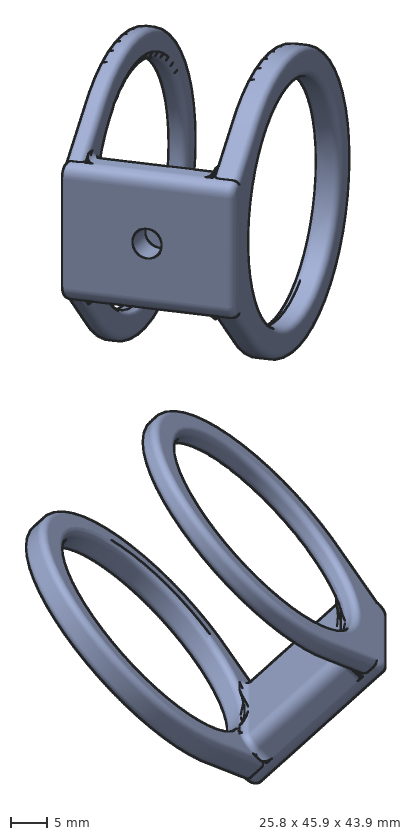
import cadquery as cq
import math

WIDTH = 25.8
RING_RADIUS = 21.95
BORE_RADIUS = 35.2 / 2
FRONT_Y = RING_RADIUS - 45.9
LEFT_ARM = 3.05
RIGHT_ARM = 4.0

BLOCK_HEIGHT = 20.0
BLOCK_BACK_Y = -17.65
BLOCK_ROUND = 2.0
SCREW_HOLE_DIAMETER = 4.3
SCREW_HOLE_DEPTH = 5.0

EDGE_ROUND = 1.0

LEFT_X = -WIDTH / 2
RIGHT_X = WIDTH / 2
LEFT_INNER_X = LEFT_X + LEFT_ARM
RIGHT_INNER_X = RIGHT_X - RIGHT_ARM
HALF_HEIGHT = BLOCK_HEIGHT / 2
SHOULDER_Y = FRONT_Y + BLOCK_ROUND
FLANK_START_Z = 15.9
SELECT_MARGIN = 0.05


def arm_blank(start_x, thickness):
    """Solid arm: a disc with straight flanks that run into the block."""
    flank_start_y = -math.sqrt(RING_RADIUS**2 - FLANK_START_Z**2)
    end_y = FRONT_Y + BLOCK_ROUND / 2
    flank_slope = (FLANK_START_Z - HALF_HEIGHT) / (flank_start_y - SHOULDER_Y)
    end_z = HALF_HEIGHT + flank_slope * (end_y - SHOULDER_Y)
    return (
        cq.Workplane("YZ", origin=(start_x, 0, 0))
        .moveTo(flank_start_y, FLANK_START_Z)
        .threePointArc((RING_RADIUS, 0), (flank_start_y, -FLANK_START_Z))
        .lineTo(end_y, -end_z)
        .lineTo(end_y, end_z)
        .close()
        .extrude(thickness)
    )


def block():
    """Bar across the full width with its four long edges rounded."""
    depth = BLOCK_BACK_Y - FRONT_Y
    return (
        cq.Workplane("XY")
        .box(WIDTH, depth, BLOCK_HEIGHT)
        .translate((0, FRONT_Y + depth / 2, 0))
        .edges("|X")
        .fillet(BLOCK_ROUND)
    )


def bore_cutter(start_x, thickness):
    """Bore of one arm, flared by a quarter round at both faces."""
    end_x = start_x + thickness
    mouth = BORE_RADIUS + EDGE_ROUND
    sag = EDGE_ROUND * (1 - math.sqrt(0.5))
    return (
        cq.Workplane("XY")
        .moveTo(start_x, 0)
        .lineTo(start_x, mouth)
        .threePointArc((start_x + sag, BORE_RADIUS + sag), (start_x + EDGE_ROUND, BORE_RADIUS))
        .lineTo(end_x - EDGE_ROUND, BORE_RADIUS)
        .threePointArc((end_x - sag, BORE_RADIUS + sag), (end_x, mouth))
        .lineTo(end_x, 0)
        .close()
        .revolve(360, (0, 0, 0), (1, 0, 0))
    )


def rounded_arm(start_x, thickness):
    """Arm with its outline rounded on both faces and its flared bore cut."""
    blank = arm_blank(start_x, thickness).faces("<X or >X").edges().fillet(EDGE_ROUND)
    return blank.cut(bore_cutter(start_x, thickness))


def middle_bar():
    """Part of the block between the arms, blended into both inner arm faces."""
    gap = RIGHT_INNER_X - LEFT_INNER_X
    plate_size = 2 * RING_RADIUS
    bar = block()
    for plate_x in (LEFT_INNER_X - LEFT_ARM / 2, RIGHT_INNER_X + LEFT_ARM / 2):
        plate = cq.Workplane("XY").box(LEFT_ARM, 2 * plate_size, plate_size)
        bar = bar.union(plate.translate((plate_x, 0, 0)))
    bar_edges = cq.selectors.BoxSelector(
        (LEFT_INNER_X - SELECT_MARGIN, FRONT_Y - SELECT_MARGIN, -HALF_HEIGHT - SELECT_MARGIN),
        (RIGHT_INNER_X + SELECT_MARGIN, BLOCK_BACK_Y + SELECT_MARGIN, HALF_HEIGHT + SELECT_MARGIN),
        boundingbox=True,
    )
    bar = bar.edges(bar_edges).edges("#X").fillet(EDGE_ROUND)

    bar = bar.intersect(arm_blank(LEFT_INNER_X, gap))
    bore = cq.Workplane("YZ", origin=(LEFT_INNER_X, 0, 0)).circle(BORE_RADIUS).extrude(gap)
    return bar.cut(bore)


body = rounded_arm(LEFT_X, LEFT_ARM)
body = body.union(rounded_arm(RIGHT_INNER_X, RIGHT_ARM))
body = body.union(middle_bar())
rounded_block = block().faces("<X or >X").edges().fillet(EDGE_ROUND)
body = body.union(rounded_block)

screw_hole = (
    cq.Workplane("XZ", origin=(0, FRONT_Y, 0))
    .circle(SCREW_HOLE_DIAMETER / 2)
    .extrude(-SCREW_HOLE_DEPTH)
)
result = body.cut(screw_hole)